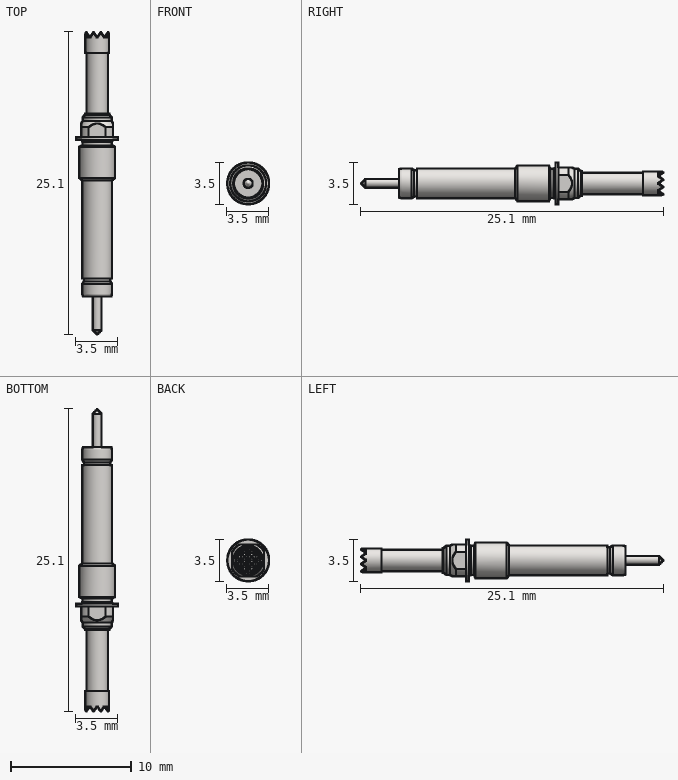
import cadquery as cq
import math

LENGTH = 25.15

PIN_R = 0.38
BARREL_R = 2.5 / 2
BARREL_END_R = 1.18
GROOVE_R = 1.1
COLLAR_R = 3.0 / 2
NECK_R = 1.23
NECK_FLARE_R = 1.28
FLANGE_R = 3.5 / 2
NOSE_R = 2.45 / 2
NOSE_TIP_R = 1.03
STEM_R = 0.9
HEAD_R = 1.0

PIN_START = PIN_R
BARREL_START = 3.15
BARREL_CHAMFER = 0.23
GROOVE_TAPER_START = 4.2
GROOVE_START = 4.43
GROOVE_END = 4.65
COLLAR_START = 13.03
COLLAR_END = 15.75
COLLAR_REAR_CHAMFER = 0.2
COLLAR_FRONT_CHAMFER = 0.13
NECK_END = 16.02
FLANGE_START = 16.17
FLANGE_END = 16.42
SQUARE_END = 17.75
NOSE_CYLINDER_END = 18.05
NOSE_TAPER_END = 18.28
NOSE_END = 18.38
HEAD_START = 23.45

SQUARE_ACROSS_FLATS = 2.67
SQUARE_CORNER_R = 1.5
SQUARE_LEAD_ANGLE = 30.0

TOOTH_PITCH = 0.6
TOOTH_DEPTH = 0.43


def turned_body():
    """Revolve the round profile of the whole probe about the Y axis."""
    square_lead = (SQUARE_CORNER_R - NOSE_R) / math.tan(math.radians(SQUARE_LEAD_ANGLE))
    profile = [
        (0, 0),
        (PIN_R, PIN_START),
        (PIN_R, BARREL_START),
        (BARREL_END_R, BARREL_START),
        (BARREL_R, BARREL_START + BARREL_CHAMFER),
        (BARREL_R, GROOVE_TAPER_START),
        (GROOVE_R, GROOVE_START),
        (GROOVE_R, GROOVE_END),
        (BARREL_R, GROOVE_END),
        (BARREL_R, COLLAR_START - COLLAR_REAR_CHAMFER),
        (COLLAR_R, COLLAR_START),
        (COLLAR_R, COLLAR_END - COLLAR_FRONT_CHAMFER),
        (NECK_R, COLLAR_END),
        (NECK_R, NECK_END),
        (NECK_FLARE_R, FLANGE_START),
        (FLANGE_R, FLANGE_START),
        (FLANGE_R, FLANGE_END),
        (SQUARE_CORNER_R, FLANGE_END),
        (SQUARE_CORNER_R, SQUARE_END - square_lead),
        (NOSE_R, SQUARE_END),
        (NOSE_R, NOSE_CYLINDER_END),
        (NOSE_TIP_R, NOSE_TAPER_END),
        (NOSE_TIP_R, NOSE_END),
        (STEM_R, NOSE_END),
        (STEM_R, HEAD_START),
        (HEAD_R, HEAD_START),
        (HEAD_R, LENGTH),
        (0, LENGTH),
    ]
    return cq.Workplane("XY").polyline(profile).close().revolve(360, (0, 0, 0), (0, 1, 0))


def square_flats():
    """Material outside the four flats, between the flange and the nose."""
    length = SQUARE_END - FLANGE_END
    middle = (0, FLANGE_END + length / 2, 0)
    blank = cq.Workplane("XY").box(2 * FLANGE_R, length, 2 * FLANGE_R)
    square = cq.Workplane("XY").box(SQUARE_ACROSS_FLATS, length, SQUARE_ACROSS_FLATS)
    return blank.cut(square).translate(middle)


def tooth_groove(x):
    """V-groove along Z, centred on the given X, in the face of the head."""
    return (
        cq.Workplane("XY")
        .polyline([
            (x - TOOTH_PITCH / 2, LENGTH),
            (x, LENGTH - TOOTH_DEPTH),
            (x + TOOTH_PITCH / 2, LENGTH),
        ])
        .close()
        .extrude(2 * HEAD_R, both=True)
    )


result = turned_body().cut(square_flats())

grooves_each_side = math.ceil(HEAD_R / TOOTH_PITCH)
for index in range(-grooves_each_side, grooves_each_side + 1):
    groove = tooth_groove(index * TOOTH_PITCH)
    result = result.cut(groove)
    result = result.cut(groove.rotate((0, 0, 0), (0, 1, 0), 90))